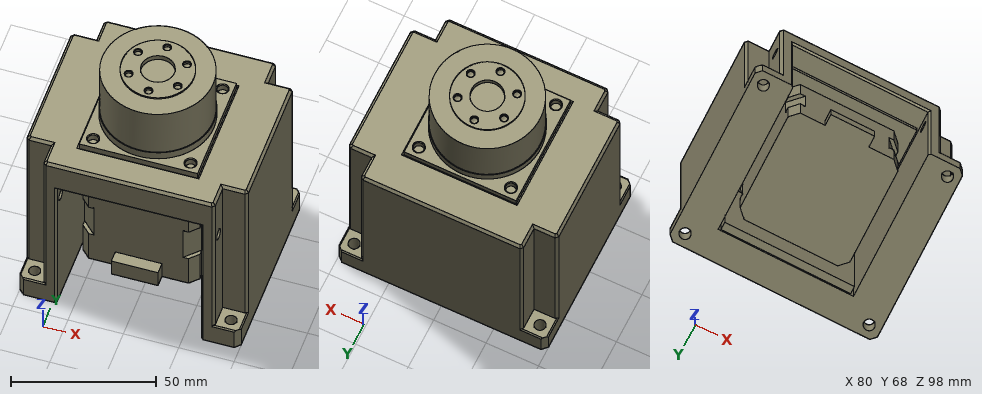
import cadquery as cq
HOUSING_WIDTH = 80.0
HOUSING_DEPTH = 68.0
HOUSING_HEIGHT = 72.5
OUTER_CHAMFER = 1.0
NOTCH_SIZE = 9.0
EAR_HEIGHT = 8.6
EAR_CHAMFER = 0.5
EAR_CORNER_CHAMFER = 2.0
EAR_HOLE_DIAMETER = 4.1
SIDE_HOLE_DIAMETER = 4.0
SIDE_HOLE_HEIGHT = 52.4
OPENING_WIDTH = 52.1
OPENING_HEIGHT = 60.0
OPENING_CHAMFER = 0.8

AXIS_Y = -2.1

TOTAL_HEIGHT = 98.0
FLANGE_SIZE = 42.7
FLANGE_TOP = 74.3
POCKET_DEPTH = 1.0
POCKET_CHAMFER = 0.7
FLANGE_HOLE_SPACING = 35.2
FLANGE_HOLE_DIAMETER = 3.8
FLANGE_HOLE_RIM_DIAMETER = 4.5
COLLAR_DIAMETER = 40.6
COLLAR_TOP = 77.4
GEARBOX_DIAMETER = 40.0
OUTPUT_DIAMETER = 26.0
OUTPUT_HEIGHT = 0.6
OUTPUT_RECESS_DIAMETER = 12.0
OUTPUT_RECESS_DEPTH = 2.0
OUTPUT_HOLE_COUNT = 6
OUTPUT_HOLE_CIRCLE_DIAMETER = 20.5
OUTPUT_HOLE_DIAMETER = 2.5
OUTPUT_HOLE_RIM_DIAMETER = 3.0
OUTPUT_HOLE_DEPTH = 1.2
DRILL_POINT_LENGTH = 0.8

BRACKET_WIDTH = 50.0
BRACKET_TOP = 57.4
BRACKET_HEIGHT = 55.7
BRACKET_THICKNESS = 2.8

MOTOR_SIZE = 42.3
MOTOR_LENGTH = 39.9
MOTOR_CORNER_CHAMFER = 3.1
MOTOR_WAIST_CHAMFER = 5.1
MOTOR_WAIST_BOTTOM = 27.7
MOTOR_WAIST_HEIGHT = 14.0
SHAFT_DIAMETER = 5.0
CONNECTOR_WIDTH = 16.9
CONNECTOR_HEIGHT = 6.9
CONNECTOR_LENGTH = 4.3

TOLERANCE = 0.01

HALF_WIDTH = HOUSING_WIDTH / 2
HALF_DEPTH = HOUSING_DEPTH / 2
FLANGE_BOTTOM = HOUSING_HEIGHT - POCKET_DEPTH
BODY_TOP = TOTAL_HEIGHT - OUTPUT_HEIGHT
BRACKET_FRONT = AXIS_Y - BRACKET_WIDTH / 2
BRACKET_BACK = AXIS_Y + BRACKET_WIDTH / 2
MOTOR_TOP = BRACKET_TOP - BRACKET_THICKNESS
MOTOR_BOTTOM = MOTOR_TOP - MOTOR_LENGTH
MOTOR_FRONT = AXIS_Y - MOTOR_SIZE / 2
CORNER_SIGNS = [(sx, sy) for sx in (-1, 1) for sy in (-1, 1)]


def block(width, y_front, y_back, z_bottom, z_top):
    """A box centred on X = 0 between the given Y and Z limits."""
    return (
        cq.Workplane("XY", origin=(0, 0, z_bottom))
        .center(0, (y_front + y_back) / 2)
        .rect(width, y_back - y_front)
        .extrude(z_top - z_bottom)
    )


def axis_plane(z):
    """A horizontal workplane at height z, centred on the motor axis."""
    return cq.Workplane("XY", origin=(0, AXIS_Y, z))


def disc(diameter, z_bottom, z_top):
    """A cylinder on the motor axis."""
    return axis_plane(z_bottom).circle(diameter / 2).extrude(z_top - z_bottom)


def rimmed_hole(diameter, rim_diameter, z_top, depth, point_length=0):
    """A downward hole on the Z axis: a 45 degree chamfer at its rim, a conical point at its end."""
    rim = (rim_diameter - diameter) / 2
    return (
        cq.Workplane("XZ")
        .moveTo(0, z_top)
        .lineTo(rim_diameter / 2, z_top)
        .lineTo(diameter / 2, z_top - rim)
        .lineTo(diameter / 2, z_top - depth)
        .lineTo(0, z_top - depth - point_length)
        .close()
        .revolve(360, (0, 0, 0), (0, 1, 0))
    )


def on_outer_side(edge):
    """Whether the middle of an edge lies on one of the four outer sides of the housing."""
    middle = edge.Center()
    return abs(abs(middle.x) - HALF_WIDTH) < TOLERANCE or abs(abs(middle.y) - HALF_DEPTH) < TOLERANCE


def make_notched_block():
    """The outer block with its corner notches, ears and edge chamfers."""
    body = block(HOUSING_WIDTH, -HALF_DEPTH, HALF_DEPTH, 0, HOUSING_HEIGHT)
    body = body.edges("|Z").chamfer(EAR_CORNER_CHAMFER)
    notches = (
        cq.Workplane("XY", origin=(0, 0, EAR_HEIGHT))
        .rarray(HOUSING_WIDTH, HOUSING_DEPTH, 2, 2)
        .rect(2 * NOTCH_SIZE, 2 * NOTCH_SIZE)
        .extrude(HOUSING_HEIGHT)
    )
    body = body.cut(notches)
    notch_edges = body.edges("|Z").filter(lambda e: on_outer_side(e) and e.Center().z > EAR_HEIGHT)
    body = notch_edges.chamfer(OUTER_CHAMFER)
    ear_edges = body.edges("#Z").filter(
        lambda e: on_outer_side(e) and abs(e.Center().z - EAR_HEIGHT) < TOLERANCE
    )
    body = ear_edges.chamfer(EAR_CHAMFER)
    return body.faces(">Z").edges().chamfer(OUTER_CHAMFER)


def cut_opening(body):
    """Opens the housing to the front and bottom and chamfers the front rim."""
    opening = block(OPENING_WIDTH, -HALF_DEPTH, BRACKET_BACK, 0, OPENING_HEIGHT)
    body = body.cut(opening)
    rim = body.faces("<Y").edges().filter(
        lambda e: abs(e.Center().x) < OPENING_WIDTH / 2 + TOLERANCE
        and TOLERANCE < e.Center().z < OPENING_HEIGHT + TOLERANCE
    )
    return rim.chamfer(OPENING_CHAMFER)


def cut_roof(body):
    """Cuts the chamfered flange pocket and the shaft hole into the roof."""
    pocket = axis_plane(FLANGE_BOTTOM).rect(FLANGE_SIZE, FLANGE_SIZE).extrude(POCKET_DEPTH)
    rim_size = FLANGE_SIZE + 2 * POCKET_CHAMFER
    rim = (
        axis_plane(HOUSING_HEIGHT)
        .rect(rim_size, rim_size)
        .workplane(offset=-POCKET_CHAMFER)
        .rect(FLANGE_SIZE, FLANGE_SIZE)
        .loft(ruled=True)
    )
    shaft_hole = disc(SHAFT_DIAMETER, OPENING_HEIGHT, FLANGE_BOTTOM)
    return body.cut(pocket).cut(rim).cut(shaft_hole)


def cut_housing_holes(body):
    """Drills the four ear holes and the cross hole through the front notches."""
    inset = NOTCH_SIZE / 2
    ear_holes = (
        cq.Workplane("XY")
        .rarray(HOUSING_WIDTH - 2 * inset, HOUSING_DEPTH - 2 * inset, 2, 2)
        .circle(EAR_HOLE_DIAMETER / 2)
        .extrude(EAR_HEIGHT)
    )
    cross_hole = (
        cq.Workplane("YZ", origin=(-HALF_WIDTH, inset - HALF_DEPTH, SIDE_HOLE_HEIGHT))
        .circle(SIDE_HOLE_DIAMETER / 2)
        .extrude(HOUSING_WIDTH)
    )
    return body.cut(ear_holes).cut(cross_hole)


def make_housing():
    """The housing, with its opening, flange pocket and holes."""
    body = make_notched_block()
    body = cut_opening(body)
    body = cut_roof(body)
    return cut_housing_holes(body)


def make_gearbox():
    """The gearbox with its square flange, round body and output face."""
    flange = axis_plane(FLANGE_BOTTOM).rect(FLANGE_SIZE, FLANGE_SIZE).extrude(FLANGE_TOP - FLANGE_BOTTOM)
    body = (
        flange.union(disc(COLLAR_DIAMETER, FLANGE_TOP, COLLAR_TOP))
        .union(disc(GEARBOX_DIAMETER, COLLAR_TOP, BODY_TOP))
        .union(disc(OUTPUT_DIAMETER, BODY_TOP, TOTAL_HEIGHT))
        .cut(disc(OUTPUT_RECESS_DIAMETER, TOTAL_HEIGHT - OUTPUT_RECESS_DEPTH, TOTAL_HEIGHT))
    )
    flange_hole = rimmed_hole(
        FLANGE_HOLE_DIAMETER, FLANGE_HOLE_RIM_DIAMETER, FLANGE_TOP, FLANGE_TOP - FLANGE_BOTTOM
    )
    for sx, sy in CORNER_SIGNS:
        offset = FLANGE_HOLE_SPACING / 2
        body = body.cut(flange_hole.translate((sx * offset, AXIS_Y + sy * offset, 0)))
    output_hole = rimmed_hole(
        OUTPUT_HOLE_DIAMETER,
        OUTPUT_HOLE_RIM_DIAMETER,
        TOTAL_HEIGHT,
        OUTPUT_HOLE_DEPTH,
        DRILL_POINT_LENGTH,
    ).translate((0, AXIS_Y + OUTPUT_HOLE_CIRCLE_DIAMETER / 2, 0))
    for index in range(OUTPUT_HOLE_COUNT):
        turn = index * 360 / OUTPUT_HOLE_COUNT
        body = body.cut(output_hole.rotate((0, AXIS_Y, 0), (0, AXIS_Y, 1), turn))
    return body


def make_bracket():
    """The L-shaped bracket, pierced by the motor shaft."""
    bottom = BRACKET_TOP - BRACKET_HEIGHT
    upright_front = BRACKET_BACK - BRACKET_THICKNESS
    top_plate = block(BRACKET_WIDTH, BRACKET_FRONT, BRACKET_BACK, MOTOR_TOP, BRACKET_TOP)
    upright = block(BRACKET_WIDTH, upright_front, BRACKET_BACK, bottom, BRACKET_TOP)
    shaft_hole = disc(SHAFT_DIAMETER, MOTOR_TOP, BRACKET_TOP)
    return top_plate.union(upright).cut(shaft_hole)


def motor_section(corner_chamfer, z_bottom, height):
    """A square length of the motor with chamfered corners."""
    section = axis_plane(z_bottom).rect(MOTOR_SIZE, MOTOR_SIZE).extrude(height)
    return section.edges("|Z").chamfer(corner_chamfer)


def make_motor():
    """The motor with its narrower-cornered waist, front connector and shaft."""
    waist_top = MOTOR_WAIST_BOTTOM + MOTOR_WAIST_HEIGHT
    lower_end = motor_section(MOTOR_CORNER_CHAMFER, MOTOR_BOTTOM, MOTOR_WAIST_BOTTOM - MOTOR_BOTTOM)
    waist = motor_section(MOTOR_WAIST_CHAMFER, MOTOR_WAIST_BOTTOM, MOTOR_WAIST_HEIGHT)
    upper_end = motor_section(MOTOR_CORNER_CHAMFER, waist_top, MOTOR_TOP - waist_top)
    connector = block(
        CONNECTOR_WIDTH,
        MOTOR_FRONT - CONNECTOR_LENGTH,
        MOTOR_FRONT,
        MOTOR_BOTTOM,
        MOTOR_BOTTOM + CONNECTOR_HEIGHT,
    )
    shaft = disc(SHAFT_DIAMETER, MOTOR_TOP, FLANGE_BOTTOM)
    return lower_end.union(waist).union(upper_end).union(connector).union(shaft)


housing = make_housing()
gearbox = make_gearbox()
bracket = make_bracket()
motor = make_motor()
result = cq.Compound.makeCompound([housing.val(), gearbox.val(), bracket.val(), motor.val()])